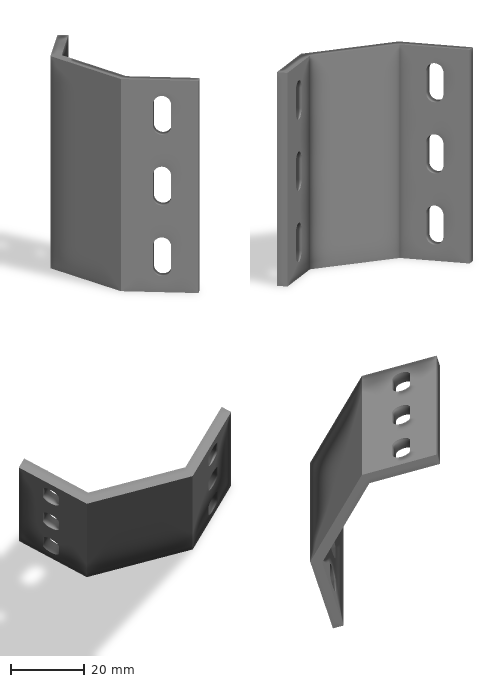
import cadquery as cq
import math

height = 60.0
overall_width = 60.0
overall_depth = 17.15
thickness = 3.0
flange_angle = math.radians(45)
slot_length = 11.0
slot_width = 5.0
slot_pitch = height / 3
slot_count = 3
slot_offset = 22.9

tip_rise = overall_depth - thickness * math.cos(flange_angle)
half_width = overall_width / 2
half_web = half_width - tip_rise / math.tan(flange_angle)
tip_shift = thickness * math.sin(flange_angle)
inner_half_web = half_web - thickness * math.tan(flange_angle / 2)


def bent_plate():
    """Constant-thickness channel section, extruded along Z and centred."""
    right_side = [
        (half_web, 0),
        (half_width, tip_rise),
        (half_width - tip_shift, overall_depth),
        (inner_half_web, thickness),
    ]
    left_side = [(-x, y) for x, y in reversed(right_side)]
    return (
        cq.Workplane("XY")
        .workplane(offset=-height / 2)
        .polyline(right_side + left_side)
        .close()
        .extrude(height)
    )


def flange_slots(side):
    """Column of vertical slots square to one flange; side is +1 or -1 in X."""
    slot_rise = (slot_offset - half_web) * math.tan(flange_angle)
    outward = (side * math.sin(flange_angle), -math.cos(flange_angle), 0)
    flange_face = cq.Plane(
        origin=(side * slot_offset, slot_rise, 0),
        xDir=(0, 0, 1),
        normal=outward,
    )
    return (
        cq.Workplane(flange_face)
        .rarray(slot_pitch, 0.6, slot_count, 1)
        .slot2D(slot_length, slot_width)
        .extrude(2 * thickness, both=True)
    )


result = bent_plate()
for side in (-1, 1):
    result = result.cut(flange_slots(side))